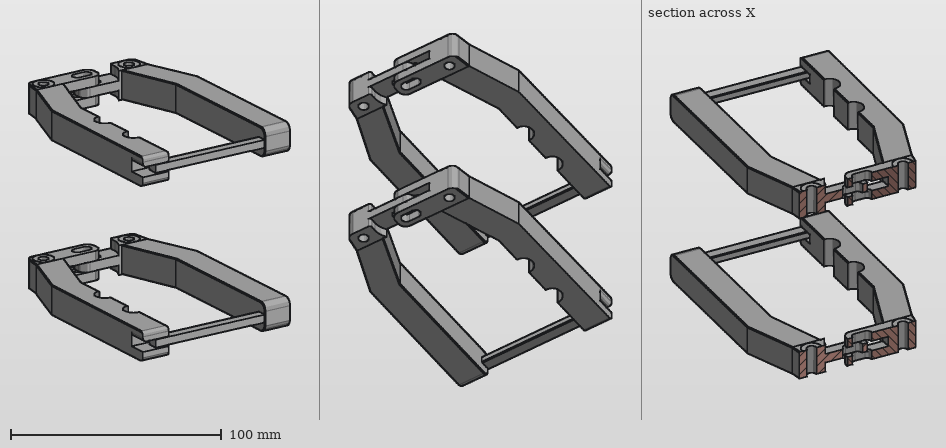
import cadquery as cq


overall_height = 103.2
overall_length = 116.68
overall_width = 84.87
frame_count = 2
frame_height = 15.0
frame_pitch = overall_height - frame_height
mid_height = frame_height / 2
break_edge = 0.45

block_width = 10.6
block_left = -block_width / 2
joint_x = block_width / 2
corner_radius = 4.0
hole_diameter = 5.0
hole_y = 24.5
block_outer_y = 32.2
taper_drop = 1.65
lap_thickness = 5.0
tip_y = 5.45
spotface_diameter = 10.4
spotface_depth = 0.1
slot_length = 10.3
slot_offset = 2.5
fork_gap_end_y = -16.5

shoulder_y = 17.1
shoulder_radius = 1.1
shoulder_arc_x = -1.4
shoulder_end_y = 14.9

rod_arm_end_x = 110.8
rod_arm_outer_y = 42.2
rod_arm_inner_y = 27.4
rod_arm_outer_bend_x = 31.9
rod_arm_inner_bend_x = 35.4
rod_arm_inner_joint_y = 16.8
rod_arm_end_radius = 3.8
rod_width = 5.6
rod_height = 4.0
rod_tip_y = -35.0

latch_arm_end_x = block_left + overall_length
latch_arm_outer_y = rod_arm_outer_y - overall_width
latch_arm_flare = 0.6
latch_arm_inner_y = -27.9
latch_arm_outer_bend_x = 33.0
latch_arm_inner_bend_x = 37.0
latch_arm_inner_joint_y = -16.4
latch_arm_end_radius = 2.2
latch_start_x = 101.6
latch_height = 5.0
latch_lip_radius = 2.0
scallop_radius = 5.0
scallop_inset = 0.4
scallop_first_x = 57.6
scallop_pitch = 24.4
scallop_count = 2


def box(x_range, y_range, z_range):
    """A box between pairs of limits."""
    corner = (x_range[0], y_range[0], z_range[0])
    sizes = [high - low for low, high in (x_range, y_range, z_range)]
    return cq.Workplane("XY").box(*sizes, centered=False).translate(corner)


def upright_cut(profile):
    """The tool for a cut through the whole frame height."""
    return profile.extrude(frame_height)


def pivot_hole(y):
    return upright_cut(cq.Workplane("XY").center(0, y).circle(hole_diameter / 2))


def spotface(y):
    """Shallow round facing around a pivot hole, on the top face."""
    bottom = frame_height - spotface_depth
    return cq.Workplane("XY", origin=(0, y, bottom)).circle(spotface_diameter / 2).extrude(spotface_depth)


def lap_slot(y):
    return upright_cut(cq.Workplane("XY").center(0, y).slot2D(slot_length, hole_diameter, 90))


def middle_layer(thickness):
    """Height limits of a layer centred in the frame."""
    return (mid_height - thickness / 2, mid_height + thickness / 2)


def edge_at(*point):
    """Selects the edge whose middle lies nearest a point."""
    return cq.selectors.NearestToPointSelector(point)


def edge_between(start, end, z):
    """Selects the level edge that joins two XY points at a height."""
    return edge_at((start[0] + end[0]) / 2, (start[1] + end[1]) / 2, z)


def tongue_block():
    outer_left = (block_left, block_outer_y - taper_drop)
    outer_right = (joint_x, block_outer_y)
    body = (
        cq.Workplane("XY")
        .moveTo(block_left, shoulder_y)
        .lineTo(shoulder_arc_x, shoulder_y)
        .tangentArcPoint((joint_x, shoulder_end_y), relative=False)
        .lineTo(*outer_right)
        .lineTo(*outer_left)
        .close()
        .extrude(frame_height)
    )
    for z in (0, frame_height):
        body = body.edges(edge_between(outer_left, outer_right, z)).chamfer(break_edge)
    body = body.edges(edge_at(*outer_left, mid_height)).fillet(corner_radius)
    body = body.edges(edge_at(block_left, shoulder_y, mid_height)).fillet(shoulder_radius)
    tongue = box((block_left, joint_x), (-tip_y, hole_y), middle_layer(lap_thickness))
    tongue = tongue.edges("|Z and <Y").fillet(corner_radius)
    return body.union(tongue).cut(pivot_hole(hole_y)).cut(spotface(hole_y)).cut(lap_slot(slot_offset))


def fork_block():
    outer_left = (block_left, taper_drop - block_outer_y)
    outer_right = (joint_x, -block_outer_y)
    body = (
        cq.Workplane("XY")
        .moveTo(block_left, tip_y)
        .lineTo(joint_x, tip_y)
        .lineTo(*outer_right)
        .lineTo(*outer_left)
        .close()
        .extrude(frame_height)
    )
    body = body.edges("|Z and >Y").fillet(corner_radius)
    for z in (0, frame_height):
        body = body.edges(edge_between(outer_left, outer_right, z)).chamfer(break_edge)
    body = body.edges(edge_at(*outer_left, mid_height)).fillet(corner_radius)
    gap = box((block_left, joint_x), (fork_gap_end_y, tip_y), middle_layer(lap_thickness))
    return body.cut(gap).cut(pivot_hole(-hole_y)).cut(spotface(-hole_y)).cut(lap_slot(-slot_offset))


def chamfer_side(arm, corners, heights):
    """Chamfers the long edges of one side of an arm, along its sloping and straight stretches."""
    joint, bend, end = corners
    side_edges = cq.Workplane("XY")
    for z in heights:
        for selector in (edge_between(joint, bend, z), edge_between(bend, end, z)):
            side_edges = side_edges.add(arm.edges(selector).vals())
    return arm.newObject(side_edges.vals()).chamfer(break_edge)


def rod_arm():
    outer = [
        (joint_x, block_outer_y),
        (rod_arm_outer_bend_x, rod_arm_outer_y),
        (rod_arm_end_x, rod_arm_outer_y),
    ]
    inner = [
        (joint_x, rod_arm_inner_joint_y),
        (rod_arm_inner_bend_x, rod_arm_inner_y),
        (rod_arm_end_x, rod_arm_inner_y),
    ]
    arm = cq.Workplane("XY").polyline(outer + inner[::-1]).close().extrude(frame_height)
    arm = arm.faces(">X").edges("|Y").fillet(rod_arm_end_radius)
    for corners in (outer, inner):
        arm = chamfer_side(arm, corners, (0, frame_height))
    rod = box(
        (rod_arm_end_x - rod_width, rod_arm_end_x),
        (rod_tip_y, rod_arm_inner_y),
        middle_layer(rod_height),
    )
    rod = rod.edges("|Y and <X").chamfer(break_edge)
    return arm.union(rod)


def scallop(x):
    """A U-shaped notch, open towards the inside of the frame."""
    centre_y = latch_arm_inner_y - scallop_inset
    round_part = upright_cut(cq.Workplane("XY").center(x, centre_y).circle(scallop_radius))
    mouth = box(
        (x - scallop_radius, x + scallop_radius),
        (centre_y, latch_arm_inner_y),
        (0, frame_height),
    )
    return round_part.union(mouth)


def latch_arm():
    outer = [
        (joint_x, -block_outer_y),
        (latch_arm_outer_bend_x, latch_arm_outer_y + latch_arm_flare),
        (latch_arm_end_x, latch_arm_outer_y),
    ]
    inner = [
        (joint_x, latch_arm_inner_joint_y),
        (latch_arm_inner_bend_x, latch_arm_inner_y),
        (latch_arm_end_x, latch_arm_inner_y),
    ]
    arm = cq.Workplane("XY").polyline(outer + inner[::-1]).close().extrude(frame_height)
    for corners in (outer, inner):
        arm = chamfer_side(arm, corners, (frame_height,))
    arm = arm.faces(">X").edges("|Y").fillet(latch_arm_end_radius)
    for index in range(scallop_count):
        x = scallop_first_x + index * scallop_pitch
        arm = arm.cut(scallop(x))
    latch = box(
        (latch_start_x, latch_arm_end_x),
        (latch_arm_outer_y, latch_arm_inner_y),
        middle_layer(latch_height),
    )
    arm = arm.cut(latch)
    lip_x = (latch_start_x + latch_arm_end_x) / 2
    lip_z = mid_height + latch_height / 2
    return arm.edges(edge_at(lip_x, latch_arm_outer_y, lip_z)).fillet(latch_lip_radius)


solids = []
for frame in range(frame_count):
    for body in (tongue_block(), fork_block(), rod_arm(), latch_arm()):
        placed = body.translate((0, 0, frame * frame_pitch))
        solids.append(placed.solids().val())

result = cq.Compound.makeCompound(solids)